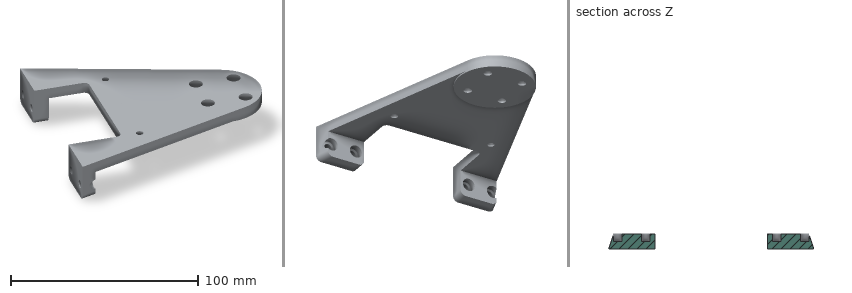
import cadquery as cq
import math

width = 110.0
length = 117.0
height = 21.0
plate_thickness = 6.1

end_radius = 22.0
end_center_y = length - end_radius
pad_thickness = 0.8

foot_width = 25.0
slot_width = width - 2 * foot_width
slot_depth = 30.0
slot_corner_radius = 2.8

foot_thickness = 8.1
foot_corner_radius = 3.0
foot_hole_diameter = 4.5
foot_hole_spacing = 15.0
foot_hole_inset = 5.0
foot_hole_drop = 13.5
foot_bore_diameter = 7.4
foot_bore_depth = 4.0

pattern_spacing = 21.2
pattern_hole_diameter = 4.6
pattern_bore_diameter = 7.5
pattern_bore_depth = 5.0

side_hole_diameter = 4.0
side_hole_spacing = 59.9
side_hole_y = 39.9


def tapered_outline():
    """Sides run from the front corners tangent into the round end."""
    half_width = width / 2
    corner_distance = math.hypot(half_width, end_center_y)
    tangent_angle = math.acos(end_radius / corner_distance) - math.atan2(end_center_y, half_width)
    tangent_x = end_radius * math.cos(tangent_angle)
    tangent_y = end_center_y + end_radius * math.sin(tangent_angle)
    return (
        cq.Workplane("XY")
        .moveTo(-half_width, 0)
        .lineTo(half_width, 0)
        .lineTo(tangent_x, tangent_y)
        .threePointArc((0, length), (-tangent_x, tangent_y))
        .close()
    )


def slot():
    """Slot open at the front edge, rounded at its two inner corners."""
    return (
        cq.Workplane("XY")
        .rect(slot_width, 2 * slot_depth)
        .extrude(-height)
        .edges("|Z and >Y")
        .fillet(slot_corner_radius)
    )


def foot(center_x):
    """Full-height front block, trimmed to the plate taper, with rounded lower side edges."""
    block = (
        cq.Workplane("XY", origin=(center_x, 0, -height))
        .box(foot_width, foot_thickness, height, centered=(True, False, False))
    )
    trimmed = block.intersect(tapered_outline().extrude(-height))
    return trimmed.faces("<Z").edges("not #Y").fillet(foot_corner_radius)


def foot_cylinder(x, diameter, start_y, depth):
    """Cylinder along Y on the axis of a foot hole."""
    return cq.Workplane("XZ", origin=(x, start_y, -foot_hole_drop)).circle(diameter / 2).extrude(-depth)


plate = tapered_outline().extrude(-plate_thickness).cut(slot())
pad = (
    cq.Workplane("XY", origin=(0, end_center_y, -plate_thickness))
    .circle(end_radius)
    .extrude(-pad_thickness)
)
result = plate.union(pad)

for side in (-1, 1):
    result = result.union(foot(side * (width - foot_width) / 2))

for side in (-1, 1):
    outer_hole_x = width / 2 - foot_hole_inset
    for distance in (outer_hole_x, outer_hole_x - foot_hole_spacing):
        x = side * distance
        result = result.cut(foot_cylinder(x, foot_hole_diameter, 0, foot_thickness))
        bore_start = foot_thickness - foot_bore_depth
        result = result.cut(foot_cylinder(x, foot_bore_diameter, bore_start, foot_bore_depth))

for diameter, depth in (
    (pattern_hole_diameter, height),
    (pattern_bore_diameter, pattern_bore_depth),
):
    result = result.cut(
        cq.Workplane("XY", origin=(0, end_center_y, 0))
        .rarray(pattern_spacing, pattern_spacing, 2, 2)
        .circle(diameter / 2)
        .extrude(-depth)
    )

result = result.cut(
    cq.Workplane("XY", origin=(0, side_hole_y, 0))
    .rarray(side_hole_spacing, 1.2, 2, 1)
    .circle(side_hole_diameter / 2)
    .extrude(-plate_thickness)
)